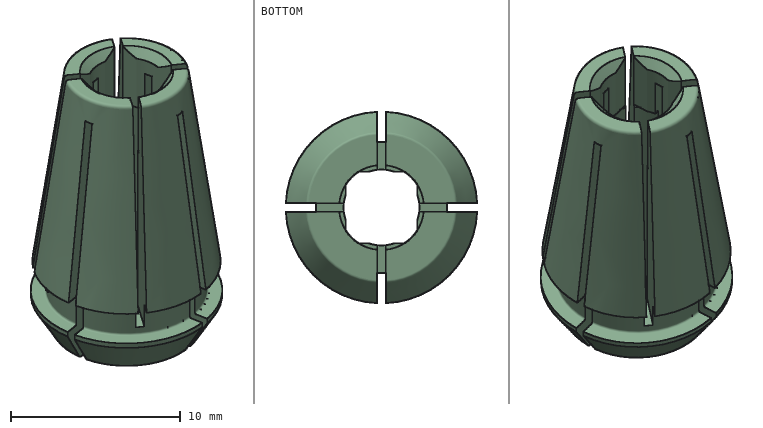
import cadquery as cq
import math


height = 18.0
flange_radius = 5.65
flange_top = 2.48
flange_rim_bottom = 2.16
flange_cone_angle = 30.0
bottom_edge_fillet = 0.18
groove_radius = 4.75
groove_fillet = 0.13
taper_bottom = 4.52
taper_bottom_radius = 5.56
taper_angle = 8.0
top_edge_fillet = 0.22

shank_radius = 2.5
square_bottom = 14.0
square_across_flats = 4.2
square_relief_radius = 2.23
countersink_radius = 2.75
countersink_depth = 0.52

slot_width = 0.5
lower_slot_top = 16.52
upper_slot_bottom = 3.0
slot_length = 3 * flange_radius


def make_body():
    """Revolve the flange, groove and clamping taper, then round the two end edges."""
    bottom_radius = flange_radius - flange_rim_bottom * math.tan(math.radians(flange_cone_angle))
    taper_height = height - taper_bottom
    top_radius = taper_bottom_radius - taper_height * math.tan(math.radians(taper_angle))
    body = (
        cq.Workplane("XZ")
        .moveTo(0, 0)
        .lineTo(bottom_radius, 0)
        .lineTo(flange_radius, flange_rim_bottom)
        .lineTo(flange_radius, flange_top)
        .lineTo(groove_radius + groove_fillet, flange_top)
        .tangentArcPoint((-groove_fillet, groove_fillet))
        .lineTo(groove_radius, taper_bottom)
        .lineTo(taper_bottom_radius, taper_bottom)
        .lineTo(top_radius, height)
        .lineTo(0, height)
        .close()
        .revolve(360, (0, 0, 0), (0, 1, 0))
    )
    body = body.faces("<Z").edges().fillet(bottom_edge_fillet)
    return body.faces(">Z").edges().fillet(top_edge_fillet)


def make_bore():
    """Round shank bore, relieved drive square and the countersink at the top."""
    shank_bore = cq.Workplane("XY").circle(shank_radius).extrude(square_bottom)
    square_base = cq.Workplane("XY").workplane(offset=square_bottom)
    square_depth = height - square_bottom
    square = square_base.rect(square_across_flats, square_across_flats).extrude(square_depth)
    relief = square_base.circle(square_relief_radius).extrude(square_depth)
    countersink_bottom = height - countersink_depth
    countersink = (
        cq.Workplane("XZ")
        .moveTo(0, countersink_bottom)
        .lineTo(square_relief_radius, countersink_bottom)
        .lineTo(countersink_radius, height)
        .lineTo(0, height)
        .close()
        .revolve(360, (0, 0, 0), (0, 1, 0))
    )
    return shank_bore.union(square).union(relief).union(countersink)


def make_slot_cross(bottom, top, angle):
    """Two crossing slots between the given heights, turned about Z."""
    cross = cq.Workplane("XY")
    for direction in (angle, angle + 90):
        slot = (
            cq.Workplane("XY")
            .workplane(offset=bottom)
            .rect(slot_length, slot_width)
            .extrude(top - bottom)
            .rotate((0, 0, 0), (0, 0, 1), direction)
        )
        cross = cross.add(slot)
    return cross.combine()


lower_slots = make_slot_cross(0, lower_slot_top, 0)
upper_slots = make_slot_cross(upper_slot_bottom, height, 45)

result = make_body().cut(make_bore()).cut(lower_slots).cut(upper_slots)